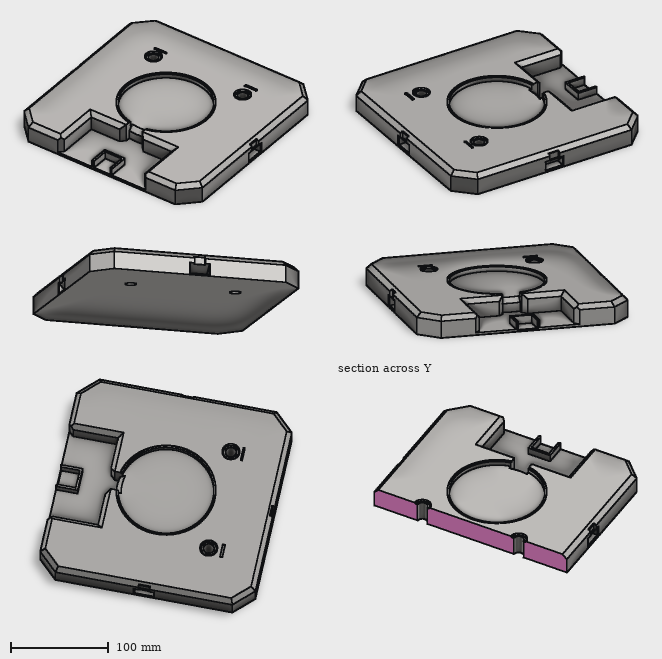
import cadquery as cq

side = 225.0
height = 23.0
corner_cut = 20.0
bevel = 5.0
floor_height = 2.7
half_side = side / 2

bay_half_width = 50.6
bay_back_y = -60.5
throat_half_width = 10.1

recess_radius = 49.0
recess_depth = 5.6
lip_radius = 51.0
lip_depth = 1.0
recess_floor = height - recess_depth
pedestal_bevel = 5.2

hole_offset = 56.2
hole_diameter = 11.0
countersink_radius = 9.0
countersink_depth = 1.4

bar_length = 14.5
bar_depth = 1.8
left_bar_y = 68.6
left_bar_width = 1.5
right_bar_y = 70.6
right_bar_width = 2.5

socket_width = 20.2
socket_height = 10.0
socket_depth = 10.0
socket_floor = 1.94
lead_in = 1.0
notch_width = 11.7
notch_depth = 3.0
notch_top = 19.8

frame_wall = 2.5
frame_depth = 20.2
frame_top = 10.5


def block(x_min, x_max, y_min, y_max, z_min, z_max):
    """Box given by its limits."""
    size = (x_max - x_min, y_max - y_min, z_max - z_min)
    return cq.Workplane("XY").box(*size, centered=False).translate((x_min, y_min, z_min))


def prism(points, z_min, z_max):
    """Upright prism on a plan outline."""
    return cq.Workplane("XY").workplane(offset=z_min).polyline(points).close().extrude(z_max - z_min)


def disc(radius, z_min, z_max):
    """Cylinder on the Z axis."""
    return cq.Workplane("XY").workplane(offset=z_min).circle(radius).extrude(z_max - z_min)


def make_base():
    """Thin octagonal floor under the whole part."""
    return cq.Workplane("XY").rect(side, side).extrude(floor_height).edges("|Z").chamfer(corner_cut)


def make_body():
    """Octagonal plate with the bay cut out and every top edge beveled."""
    straight = half_side - corner_cut
    right_half = [
        (bay_half_width, bay_back_y),
        (bay_half_width, -half_side),
        (straight, -half_side),
        (half_side, -straight),
        (half_side, straight),
        (straight, half_side),
    ]
    left_half = [(-x, y) for x, y in reversed(right_half)]
    return prism(right_half + left_half, floor_height, height).faces(">Z").edges().chamfer(bevel)


def bay_mouth_corner():
    """Upright 45 degree cut where the +X bay wall meets the -Y face."""
    corner = [
        (bay_half_width, -half_side),
        (bay_half_width + bevel, -half_side),
        (bay_half_width, -half_side + bevel),
    ]
    return prism(corner, floor_height, height)


def make_throat():
    """Passage from the bay to the recess, with 45 degree corners at the bay."""
    right_half = [
        (throat_half_width, 0),
        (throat_half_width, bay_back_y + bevel),
        (throat_half_width + bevel, bay_back_y),
    ]
    left_half = [(-x, y) for x, y in reversed(right_half)]
    passage = prism(right_half + left_half, floor_height, height)
    pedestal = disc(lip_radius, floor_height, recess_floor).faces(">Z").chamfer(pedestal_bevel)
    return passage.cut(pedestal)


def make_recess():
    """Round recess with a shallow wider step at its rim."""
    return disc(recess_radius, recess_floor, height).union(disc(lip_radius, height - lip_depth, height))


def screw_hole(x):
    """Through hole with a conical step at the top."""
    step_radius = countersink_radius - countersink_depth
    bore = disc(hole_diameter / 2, 0, height)
    step = cq.Workplane("XZ").polyline([
        (0, height),
        (countersink_radius, height),
        (step_radius, height - countersink_depth),
        (0, height - countersink_depth),
    ]).close().revolve(360, (0, 0), (0, 1))
    return bore.union(step).translate((x, hole_offset, 0))


def engraved_bar(x, y, width):
    """Shallow bar along X in the top face."""
    half_length = bar_length / 2
    return block(x - half_length, x + half_length, y - width / 2, y + width / 2, height - bar_depth, height)


def lead_in_cut():
    """Tapered mouth of a socket in the -Y face."""
    centre = (0, -half_side + lead_in, socket_floor + socket_height / 2)
    inner_end = cq.Workplane(cq.Plane(origin=centre, xDir=(1, 0, 0), normal=(0, -1, 0)))
    mouth = inner_end.rect(socket_width, socket_height).workplane(offset=lead_in)
    return mouth.rect(socket_width + 2 * lead_in, socket_height + 2 * lead_in).loft(ruled=True)


def edge_socket():
    """Socket in the -Y face with a sloping roof, a lead-in and a notch above."""
    socket_top = socket_floor + socket_height
    cavity = cq.Workplane("YZ").polyline([
        (-half_side, socket_floor),
        (-half_side, socket_top),
        (-half_side + lead_in, socket_top),
        (-half_side + lead_in + socket_depth, socket_floor),
    ]).close().extrude(socket_width / 2, both=True)
    notch = block(
        -notch_width / 2, notch_width / 2, -half_side, -half_side + notch_depth, socket_top, notch_top
    )
    return cavity.union(lead_in_cut()).union(notch)


def make_frame():
    """Wall block standing on the bay floor."""
    outer = socket_width / 2 + frame_wall
    back = -half_side + frame_depth + frame_wall
    return block(-outer, outer, -half_side, back, floor_height, frame_top)


def frame_pocket():
    """Open-topped pocket with a lead-in, leaving a U-shaped wall."""
    inner = socket_width / 2
    pocket = block(-inner, inner, -half_side, -half_side + frame_depth, socket_floor, frame_top)
    return pocket.union(lead_in_cut())


mouth_corner = bay_mouth_corner()
body = make_body().cut(mouth_corner).cut(mouth_corner.mirror("YZ"))
body = body.cut(make_throat()).cut(make_recess())
result = make_base().union(body).union(make_frame()).cut(frame_pocket())

for hole_x in (-hole_offset, hole_offset):
    result = result.cut(screw_hole(hole_x))

result = result.cut(engraved_bar(-hole_offset, left_bar_y, left_bar_width))
result = result.cut(engraved_bar(hole_offset, right_bar_y, right_bar_width))

for angle in (90, 180, 270):
    result = result.cut(edge_socket().rotate((0, 0, 0), (0, 0, 1), angle))